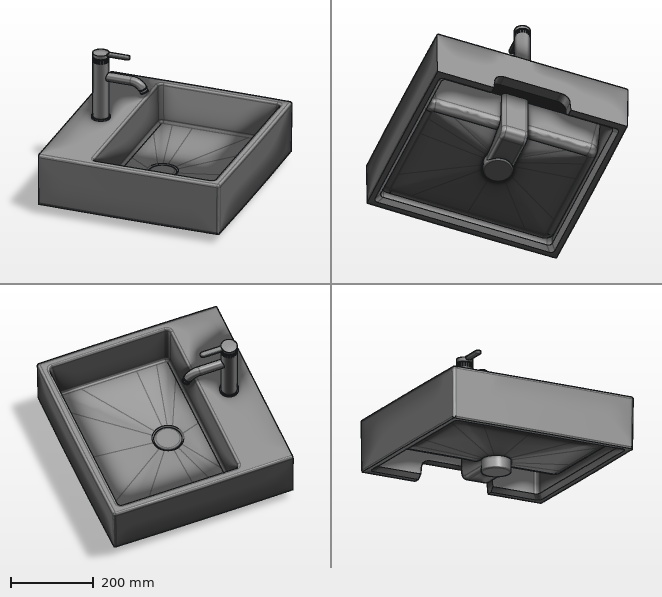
import cadquery as cq
import math

BLOCK_LENGTH = 470.0
BLOCK_HALF_WIDTH = 250.0
BLOCK_HEIGHT = 133.5
FRONT_CROWN = 2.0
SIDE_CROWN = 1.5
BLOCK_DRAFT = 1.5
BOTTOM_BEVEL = 1.0
BOTTOM_BEVEL_HEIGHT = 4.5
BLOCK_ROUND = 6.5

BOWL_BACK, BOWL_FRONT, BOWL_HALF_WIDTH = 131.5, 446.5, 226.5
BOWL_CORNER = 10.0
BOWL_RIM_ROUND = 6.5
FLOOR_BACK, FLOOR_FRONT, FLOOR_HALF_WIDTH = 146.5, 423.0, 201.5
FLOOR_HEIGHT = 39.0
FLOOR_ROUND = 8.0
FLOOR_FILLET_REACH = 7.0
FAN_BACK_X, FAN_FRONT_X, FAN_SIDE_Y = 174.0, 370.0, 146.5
FAN_ANGLES = [0, 35, 55, 90, 109, 129, 180]
CORNER_PULL = 4

DRAIN_X = 226.0
DRAIN_RADIUS = 38.5
DRAIN_HEIGHT = 18.0
DRAIN_SEAT_RADIUS = 34.5
DRAIN_FLARE_DEPTH = 3.0
COVER_THICKNESS = 9.0
COVER_ROUND = 5.0
BOSS_RADIUS = 36.0
BOSS_BOTTOM = -28.0
BOSS_ROUND = 2.5

WALL = 27.5
BOWL_WALL = 15.0
HOLLOW_TOP = 117.5
HOLLOW_CORNER = 10.0
HOLLOW_FLARE = 11.0
CHANNEL_BACK = 107.0
CHANNEL_HALF_WIDTH = 34.0
CHANNEL_BOTTOM = -22.0
CHANNEL_EDGE_ROUND = 9.0
CHANNEL_HEEL_ROUND = 25.0
NOTCH_HEIGHT = 49.0
NOTCH_HALF_WIDTH = 97.5
NOTCH_FLARE = 2.5
NOTCH_ROUND = 23.5

FAUCET_X = 66.5
RING_RADIUS = 23.0
RING_HEIGHT = 4.0
COLUMN_RADIUS = 20.0
NECK_RADIUS = 18.5
NECK_HEIGHT = 2.0
FAUCET_TOP = 309.5
CAP_HEIGHT = 12.5
CAP_DOME = 2.0
CAP_HOLE_RADIUS = 3.0
CAP_HOLE_DEPTH = 5.0
CAP_HOLE_RISE = 1.5
GRIP_ROWS = 2
GRIP_COUNT = 20
GRIP_START = 12.0
GRIP_WIDTH = 2.0
GRIP_DEPTH = 1.5
GRIP_HEIGHT = 3.5
GRIP_PITCH = 6.0
LEVER_END = 141.5
LEVER_WIDTH = 14.5
LEVER_THICKNESS = 8.5
LEVER_TOP_ROUND = 2.0
LEVER_BOTTOM_ROUND = 4.0
SPOUT_RADIUS = 11.0
SPOUT_HEIGHT = BLOCK_HEIGHT + 112.0
SPOUT_STRAIGHT_END = 146.0
SPOUT_BEND_RADIUS = 33.5
SPOUT_BEND_ANGLE = 60.0
AERATOR_RADIUS = 10.0
AERATOR_LENGTH = 10.0
AERATOR_NECK_RADIUS = 9.0
AERATOR_NECK_LENGTH = 2.0
AERATOR_BORE_RADIUS = 8.0
AERATOR_BORE_DEPTH = 2.0

COLUMN_BOTTOM = BLOCK_HEIGHT + RING_HEIGHT
CAP_BOTTOM = FAUCET_TOP - CAP_HEIGHT
NECK_BOTTOM = CAP_BOTTOM - NECK_HEIGHT


def block_outline(z, inset):
    """Straight back edge, and gently bowed sides and front."""
    half_width = BLOCK_HALF_WIDTH - inset
    front = BLOCK_LENGTH - inset
    corner_x, corner_y = front - FRONT_CROWN, half_width - SIDE_CROWN
    return (
        cq.Workplane("XY", origin=(0, 0, z))
        .moveTo(0, -corner_y)
        .threePointArc((corner_x / 2, -half_width), (corner_x, -corner_y))
        .threePointArc((front, 0), (corner_x, corner_y))
        .threePointArc((corner_x / 2, half_width), (0, corner_y))
        .close()
        .val()
    )


def loft(lower, upper):
    return cq.Workplane(obj=cq.Solid.makeLoft([lower, upper], True))


def rounded_rectangle(back, front, half_width, corner, z):
    rectangle = cq.Wire.makePolygon(
        [(back, -half_width, z), (front, -half_width, z), (front, half_width, z), (back, half_width, z)],
        close=True,
    )
    return rectangle.fillet2D(corner, rectangle.Vertices())


def make_block():
    """Drafted sides, rounded top and front corners, and a bevelled foot."""
    overshoot = BLOCK_DRAFT * BLOCK_ROUND / (BLOCK_HEIGHT - BLOCK_ROUND)
    block = loft(block_outline(0, BLOCK_DRAFT), block_outline(BLOCK_HEIGHT, -overshoot))
    corner_box = cq.selectors.BoxSelector(
        (BLOCK_LENGTH / 2, -BLOCK_HALF_WIDTH, BLOCK_ROUND),
        (BLOCK_LENGTH, BLOCK_HALF_WIDTH, BLOCK_HEIGHT - BLOCK_ROUND),
    )
    block = block.faces(">Z").edges("not <X").add(block.edges(corner_box)).fillet(BLOCK_ROUND)
    foot_inset = BLOCK_DRAFT + BOTTOM_BEVEL
    top_inset = foot_inset - BOTTOM_BEVEL * BLOCK_HEIGHT / BOTTOM_BEVEL_HEIGHT
    return block.intersect(loft(block_outline(0, foot_inset), block_outline(BLOCK_HEIGHT, top_inset)))


def bowl_walls(wall):
    """Drafted bowl sides with a rounded foot, grown outward by a wall thickness."""
    foot = FLOOR_FILLET_REACH + wall
    lower = rounded_rectangle(
        FLOOR_BACK - foot,
        FLOOR_FRONT + foot,
        FLOOR_HALF_WIDTH + foot,
        BOWL_CORNER + wall,
        FLOOR_HEIGHT - wall,
    )
    upper = rounded_rectangle(
        BOWL_BACK - wall, BOWL_FRONT + wall, BOWL_HALF_WIDTH + wall, BOWL_CORNER + wall, BLOCK_HEIGHT
    )
    return loft(lower, upper).faces("<Z").edges().fillet(FLOOR_ROUND + wall)


def make_funnel():
    """Faceted floor that falls from a rectangular outline to the drain circle."""
    back_corner = (FLOOR_BACK, FLOOR_HALF_WIDTH)
    front_corner = (FLOOR_FRONT, FLOOR_HALF_WIDTH)
    half_curves = [
        [(FLOOR_FRONT, 0), (FLOOR_FRONT, FAN_SIDE_Y)],
        [(FLOOR_FRONT, FAN_SIDE_Y), *CORNER_PULL * [front_corner], (FAN_FRONT_X, FLOOR_HALF_WIDTH)],
        [(FAN_FRONT_X, FLOOR_HALF_WIDTH), (DRAIN_X, FLOOR_HALF_WIDTH)],
        [(DRAIN_X, FLOOR_HALF_WIDTH), (FAN_BACK_X, FLOOR_HALF_WIDTH)],
        [(FAN_BACK_X, FLOOR_HALF_WIDTH), *CORNER_PULL * [back_corner], (FLOOR_BACK, FAN_SIDE_Y)],
        [(FLOOR_BACK, FAN_SIDE_Y), (FLOOR_BACK, 0)],
    ]

    def drain_point(angle, side):
        turn = math.radians(angle)
        return cq.Vector(
            DRAIN_X + DRAIN_RADIUS * math.cos(turn), side * DRAIN_RADIUS * math.sin(turn), DRAIN_HEIGHT
        )

    upper_edges, lower_edges = [], []
    for side in (1, -1):
        for curve, start, end in zip(half_curves, FAN_ANGLES, FAN_ANGLES[1:]):
            upper_edges.append(cq.Edge.makeBezier([cq.Vector(x, side * y, FLOOR_HEIGHT) for x, y in curve]))
            arc_points = [drain_point(angle, side) for angle in (start, (start + end) / 2, end)]
            lower_edges.append(cq.Edge.makeThreePointArc(*arc_points))
    faces = [cq.Face.makeRuledSurface(upper, lower) for upper, lower in zip(upper_edges, lower_edges)]
    for edges in (upper_edges, lower_edges):
        faces.append(cq.Face.makeFromWires(cq.Wire.combine(edges)[0]))
    return cq.Workplane(obj=cq.Solid.makeSolid(cq.Shell.makeShell(faces)).fix())


def make_hollow():
    """Space inside the outer walls, open at the bottom with a flared mouth."""

    def section(z, wall):
        half_width = BLOCK_HALF_WIDTH - wall
        return rounded_rectangle(wall, BLOCK_LENGTH - wall, half_width, HOLLOW_CORNER, z)

    mouth = loft(section(0, WALL - HOLLOW_FLARE), section(HOLLOW_FLARE, WALL))
    return mouth.union(loft(section(HOLLOW_FLARE, WALL), section(HOLLOW_TOP, WALL)))


def make_notch():
    """Round-cornered opening through the back wall, slightly wider at the bottom."""
    shoulder = NOTCH_HEIGHT - NOTCH_ROUND
    arc_offset = NOTCH_ROUND * (1 - math.sqrt(0.5))
    foot = NOTCH_HALF_WIDTH + NOTCH_FLARE
    return (
        cq.Workplane("YZ")
        .moveTo(-foot, 0)
        .lineTo(foot, 0)
        .lineTo(NOTCH_HALF_WIDTH, shoulder)
        .threePointArc(
            (NOTCH_HALF_WIDTH - arc_offset, NOTCH_HEIGHT - arc_offset),
            (NOTCH_HALF_WIDTH - NOTCH_ROUND, NOTCH_HEIGHT),
        )
        .lineTo(NOTCH_ROUND - NOTCH_HALF_WIDTH, NOTCH_HEIGHT)
        .threePointArc(
            (arc_offset - NOTCH_HALF_WIDTH, NOTCH_HEIGHT - arc_offset),
            (-NOTCH_HALF_WIDTH, shoulder),
        )
        .close()
        .extrude(WALL)
    )


def make_channel():
    """Overflow channel that runs down behind the bowl and under it to the drain."""
    return (
        cq.Workplane("XY", origin=(0, 0, CHANNEL_BOTTOM))
        .moveTo(CHANNEL_BACK, -CHANNEL_HALF_WIDTH)
        .lineTo(DRAIN_X, -CHANNEL_HALF_WIDTH)
        .lineTo(DRAIN_X, CHANNEL_HALF_WIDTH)
        .lineTo(CHANNEL_BACK, CHANNEL_HALF_WIDTH)
        .close()
        .extrude(HOLLOW_TOP - CHANNEL_BOTTOM)
        .edges("<X and <Z")
        .fillet(CHANNEL_HEEL_ROUND)
        .faces("<X")
        .edges("|Z")
        .fillet(CHANNEL_EDGE_ROUND)
    )


def make_drain_boss():
    return (
        cq.Workplane("XY", origin=(DRAIN_X, 0, BOSS_BOTTOM))
        .circle(BOSS_RADIUS)
        .extrude(FLOOR_HEIGHT - BOSS_BOTTOM)
        .faces("<Z")
        .edges()
        .fillet(BOSS_ROUND)
    )


def make_drain_recess():
    """Seat of the drain cover, flared at its mouth."""
    mouth = DRAIN_HEIGHT - DRAIN_FLARE_DEPTH
    return (
        cq.Workplane("XZ", origin=(DRAIN_X, 0, 0))
        .moveTo(0, DRAIN_HEIGHT)
        .lineTo(DRAIN_RADIUS, DRAIN_HEIGHT)
        .lineTo(DRAIN_SEAT_RADIUS, mouth)
        .lineTo(DRAIN_SEAT_RADIUS, DRAIN_HEIGHT - COVER_THICKNESS)
        .lineTo(0, DRAIN_HEIGHT - COVER_THICKNESS)
        .close()
        .revolve()
    )


def make_basin():
    """Hollow block with its bowl, drain boss, overflow channel and rear notch."""
    funnel = make_funnel()
    hollow = make_hollow().cut(bowl_walls(BOWL_WALL)).cut(funnel.translate((0, 0, -BOWL_WALL)))
    basin = make_block().cut(hollow).cut(make_notch())
    basin = basin.union(make_channel()).union(make_drain_boss())
    basin = basin.cut(bowl_walls(0))
    rim_box = cq.selectors.BoxSelector(
        (BOWL_BACK / 2, BLOCK_ROUND - BLOCK_HALF_WIDTH, BLOCK_HEIGHT - BLOCK_ROUND / 2),
        (BLOCK_LENGTH - 2 * BLOCK_ROUND, BLOCK_HALF_WIDTH - 2 * BLOCK_ROUND, BLOCK_HEIGHT + BLOCK_ROUND),
    )
    basin = basin.edges(rim_box).fillet(BOWL_RIM_ROUND)
    return basin.cut(funnel).cut(make_drain_recess())


def make_drain_cover():
    return (
        cq.Workplane("XY", origin=(DRAIN_X, 0, DRAIN_HEIGHT - COVER_THICKNESS))
        .circle(DRAIN_SEAT_RADIUS)
        .extrude(COVER_THICKNESS)
        .faces(">Z")
        .edges()
        .fillet(COVER_ROUND)
    )


def faucet_cylinder(radius, bottom, top):
    return cq.Workplane("XY", origin=(FAUCET_X, 0, bottom)).circle(radius).extrude(top - bottom)


def make_base_ring():
    return faucet_cylinder(RING_RADIUS, BLOCK_HEIGHT, COLUMN_BOTTOM)


def make_column():
    """Tube with a narrower neck under the cap and two rows of small grip notches."""
    column = faucet_cylinder(COLUMN_RADIUS, COLUMN_BOTTOM, NECK_BOTTOM)
    column = column.union(faucet_cylinder(NECK_RADIUS, NECK_BOTTOM, CAP_BOTTOM))
    grip = cq.Workplane("XY").box(2 * GRIP_DEPTH, GRIP_WIDTH, GRIP_HEIGHT).translate((COLUMN_RADIUS, 0, 0))
    for row in range(GRIP_ROWS):
        height = NECK_BOTTOM - GRIP_HEIGHT / 2 - row * GRIP_PITCH
        for index in range(GRIP_COUNT):
            turned = grip.rotate((0, 0, 0), (0, 0, 1), GRIP_START + index * 360 / GRIP_COUNT)
            column = column.cut(turned.translate((FAUCET_X, 0, height)))
    return column


def make_cap():
    """Low-domed cap with a grub screw hole at the back of its lower edge."""
    shoulder = CAP_HEIGHT - CAP_DOME
    dome_radius = (COLUMN_RADIUS**2 + CAP_DOME**2) / (2 * CAP_DOME)
    middle = COLUMN_RADIUS / 2
    middle_height = CAP_HEIGHT - dome_radius + math.sqrt(dome_radius**2 - middle**2)
    cap = (
        cq.Workplane("XZ", origin=(FAUCET_X, 0, CAP_BOTTOM))
        .lineTo(COLUMN_RADIUS, 0)
        .lineTo(COLUMN_RADIUS, shoulder)
        .threePointArc((middle, middle_height), (0, CAP_HEIGHT))
        .close()
        .revolve()
    )
    hole = (
        cq.Workplane("YZ", origin=(FAUCET_X - COLUMN_RADIUS, 0, CAP_BOTTOM + CAP_HOLE_RISE - CAP_HOLE_RADIUS))
        .circle(CAP_HOLE_RADIUS)
        .extrude(CAP_HOLE_DEPTH)
    )
    return cap.cut(hole)


def make_lever():
    """Flat round-ended lever that butts against the side of the cap."""
    half_width = LEVER_WIDTH / 2
    lever = (
        cq.Workplane("XY", origin=(0, 0, FAUCET_TOP - LEVER_THICKNESS))
        .moveTo(FAUCET_X, -half_width)
        .lineTo(LEVER_END - half_width, -half_width)
        .threePointArc((LEVER_END, 0), (LEVER_END - half_width, half_width))
        .lineTo(FAUCET_X, half_width)
        .close()
        .extrude(LEVER_THICKNESS)
        .faces(">Z")
        .edges("not <X")
        .fillet(LEVER_TOP_ROUND)
        .faces("<Z")
        .edges("not <X")
        .fillet(LEVER_BOTTOM_ROUND)
    )
    return lever.cut(faucet_cylinder(COLUMN_RADIUS, CAP_BOTTOM, FAUCET_TOP))


def make_spout(column):
    """Straight tube and bend, butted against the column."""
    bend_center = (SPOUT_STRAIGHT_END, SPOUT_HEIGHT - SPOUT_BEND_RADIUS)

    def bend_point(angle):
        turn = math.radians(angle)
        return (
            bend_center[0] + SPOUT_BEND_RADIUS * math.sin(turn),
            bend_center[1] + SPOUT_BEND_RADIUS * math.cos(turn),
        )

    path = (
        cq.Workplane("XZ")
        .moveTo(FAUCET_X, SPOUT_HEIGHT)
        .lineTo(SPOUT_STRAIGHT_END, SPOUT_HEIGHT)
        .threePointArc(bend_point(SPOUT_BEND_ANGLE / 2), bend_point(SPOUT_BEND_ANGLE))
    )
    tube = cq.Workplane("YZ", origin=(FAUCET_X, 0, SPOUT_HEIGHT)).circle(SPOUT_RADIUS).sweep(path)
    return tube.cut(column)


def make_aerator():
    """Stepped outlet at the end of the bend, with a shallow bore."""
    turn = math.radians(SPOUT_BEND_ANGLE)
    end_x = SPOUT_STRAIGHT_END + SPOUT_BEND_RADIUS * math.sin(turn)
    end_z = SPOUT_HEIGHT - SPOUT_BEND_RADIUS * (1 - math.cos(turn))
    outlet = cq.Plane(
        origin=(end_x, 0, end_z), xDir=(0, 1, 0), normal=(math.cos(turn), 0, -math.sin(turn))
    )
    body_length = AERATOR_LENGTH - AERATOR_NECK_LENGTH
    return (
        cq.Workplane(outlet)
        .circle(AERATOR_NECK_RADIUS)
        .extrude(AERATOR_NECK_LENGTH)
        .faces(cq.selectors.DirectionMinMaxSelector(outlet.zDir))
        .workplane()
        .circle(AERATOR_RADIUS)
        .extrude(body_length)
        .faces(cq.selectors.DirectionMinMaxSelector(outlet.zDir))
        .workplane()
        .circle(AERATOR_BORE_RADIUS)
        .cutBlind(-AERATOR_BORE_DEPTH)
    )


basin = make_basin()
drain_cover = make_drain_cover()
base_ring = make_base_ring()
column = make_column()
cap = make_cap()
lever = make_lever()
spout = make_spout(column)
aerator = make_aerator()

result = cq.Compound.makeCompound(
    [
        basin.val(),
        drain_cover.val(),
        base_ring.val(),
        column.val(),
        cap.val(),
        lever.val(),
        spout.val(),
        aerator.val(),
    ]
)